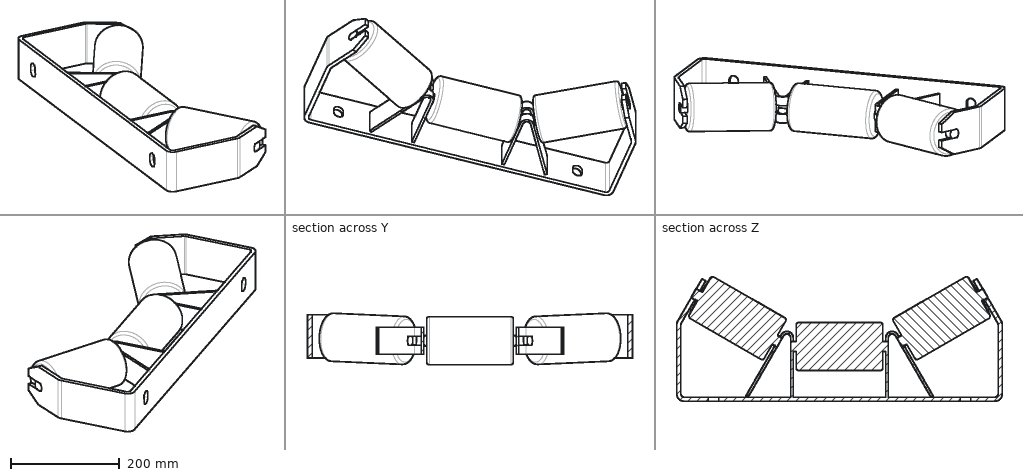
import cadquery as cq
import math


FRAME_WIDTH = 600.0
FRAME_HEIGHT = 80.0
FRAME_BOTTOM = -32.0
FRAME_MIDDLE = FRAME_BOTTOM + FRAME_HEIGHT / 2
FRAME_THICKNESS = 8.0
FRAME_BEND_INSIDE = 6.0
FRAME_BEND_OUTSIDE = FRAME_BEND_INSIDE + FRAME_THICKNESS
ARM_BEND_Y = 141.0
ARM_LENGTH = 90.0
ARM_CORNER_LENGTH = 30.0
ARM_CORNER_HEIGHT = 17.3

MOUNT_SPACING = 464.0
MOUNT_SLOT_WIDTH = 18.0
MOUNT_SLOT_HEIGHT = 26.0

SIDE_ANGLE = 30.0
SIDE_TILT = 2.2
BARREL_DIAMETER = 89.0
BARREL_LENGTH = 160.0
BARREL_ROUNDING = 5.0
BARREL_GAP = 5.0
FLAT_CLEARANCE = 1.0
SHAFT_DIAMETER = 20.0
SHAFT_FLATS = 16.0
SLOT_RUN = 60.0
MIDDLE_AXIS_Y = 101.0
SIDE_ROLLER_CENTRE = (188.0, 153.22, 3.42)
SUPPORT_DISTANCE = BARREL_LENGTH / 2 + BARREL_GAP

BRACKET_THICKNESS = 5.0
BRACKET_BEND_INSIDE = 7.0
BRACKET_BEND_OUTSIDE = BRACKET_BEND_INSIDE + BRACKET_THICKNESS
BRACKET_BEND_X = SUPPORT_DISTANCE + BRACKET_BEND_OUTSIDE
BRACKET_BEND_Y = 117.0
BRACKET_HEIGHT = 50.0
WELD_DEPTH = 0.2

INNER_REACH = SUPPORT_DISTANCE + BRACKET_THICKNESS
OUTER_REACH = SUPPORT_DISTANCE + FRAME_THICKNESS


def polar(start, distance, angle):
    """Point at a distance from another one, in a direction in degrees."""
    turn = math.radians(angle)
    return start[0] + distance * math.cos(turn), start[1] + distance * math.sin(turn)


def both_sides(body):
    """A body of the +X half joined to its mirror image."""
    return body.union(body.mirror("YZ"))


def arm_corners():
    """Wedges that bevel the top and bottom corners of the +X arm's tip."""
    bend = (FRAME_WIDTH / 2 - FRAME_BEND_OUTSIDE, ARM_BEND_Y)
    tip = polar(polar(bend, FRAME_BEND_OUTSIDE, SIDE_ANGLE), ARM_LENGTH, 90 + SIDE_ANGLE)
    outward = polar((0, 0), 1, SIDE_ANGLE)
    back_along_arm = polar((0, 0), 1, SIDE_ANGLE - 90)
    face = cq.Plane(
        origin=(tip[0], tip[1], FRAME_MIDDLE),
        xDir=(back_along_arm[0], back_along_arm[1], 0),
        normal=(outward[0], outward[1], 0),
    )
    wedges = cq.Workplane(face)
    for side in (-1, 1):
        edge = side * FRAME_HEIGHT / 2
        wedges = (
            wedges.moveTo(0, edge)
            .lineTo(ARM_CORNER_LENGTH, edge)
            .lineTo(0, edge - side * ARM_CORNER_HEIGHT)
            .close()
        )
    return wedges.extrude(-FRAME_THICKNESS)


def frame_strip():
    """Back wall, side walls and inclined arms, with the mounting slots."""
    corner = (FRAME_WIDTH / 2 - FRAME_BEND_OUTSIDE, FRAME_BEND_OUTSIDE)
    bend = (corner[0], ARM_BEND_Y)
    arm_direction = 90 + SIDE_ANGLE
    outside_end = polar(bend, FRAME_BEND_OUTSIDE, SIDE_ANGLE)
    inside_end = polar(bend, FRAME_BEND_INSIDE, SIDE_ANGLE)
    half = (
        cq.Workplane("XY", origin=(0, 0, FRAME_BOTTOM))
        .moveTo(0, 0)
        .lineTo(*polar(corner, FRAME_BEND_OUTSIDE, -90))
        .threePointArc(polar(corner, FRAME_BEND_OUTSIDE, -45), polar(corner, FRAME_BEND_OUTSIDE, 0))
        .lineTo(*polar(bend, FRAME_BEND_OUTSIDE, 0))
        .threePointArc(polar(bend, FRAME_BEND_OUTSIDE, SIDE_ANGLE / 2), outside_end)
        .lineTo(*polar(outside_end, ARM_LENGTH, arm_direction))
        .lineTo(*polar(inside_end, ARM_LENGTH, arm_direction))
        .lineTo(*inside_end)
        .threePointArc(polar(bend, FRAME_BEND_INSIDE, SIDE_ANGLE / 2), polar(bend, FRAME_BEND_INSIDE, 0))
        .lineTo(*polar(corner, FRAME_BEND_INSIDE, 0))
        .threePointArc(polar(corner, FRAME_BEND_INSIDE, -45), polar(corner, FRAME_BEND_INSIDE, -90))
        .lineTo(0, FRAME_THICKNESS)
        .close()
        .extrude(FRAME_HEIGHT)
        .cut(arm_corners())
    )
    slots = (
        cq.Workplane("XZ", origin=(0, 0, FRAME_MIDDLE))
        .rarray(MOUNT_SPACING, 1, 2, 1)
        .slot2D(MOUNT_SLOT_HEIGHT, MOUNT_SLOT_WIDTH, 90)
        .extrude(-FRAME_THICKNESS)
    )
    return both_sides(half).cut(slots)


def bracket():
    """The +X inner bracket: a leg square to the back wall and a leg along the side roller's end."""
    bend = (BRACKET_BEND_X, BRACKET_BEND_Y)
    leg_direction = SIDE_ANGLE - 90
    outside_end = polar(bend, BRACKET_BEND_OUTSIDE, SIDE_ANGLE)
    inside_end = polar(bend, BRACKET_BEND_INSIDE, SIDE_ANGLE)
    leg_drop = inside_end[1] - FRAME_THICKNESS + WELD_DEPTH
    leg_length = leg_drop / math.cos(math.radians(SIDE_ANGLE))
    bend_middle = (180 + SIDE_ANGLE) / 2
    return (
        cq.Workplane("XY", origin=(0, 0, -BRACKET_HEIGHT / 2))
        .moveTo(SUPPORT_DISTANCE, FRAME_THICKNESS)
        .lineTo(*polar(bend, BRACKET_BEND_OUTSIDE, 180))
        .threePointArc(polar(bend, BRACKET_BEND_OUTSIDE, bend_middle), outside_end)
        .lineTo(*polar(outside_end, leg_length, leg_direction))
        .lineTo(*polar(inside_end, leg_length, leg_direction))
        .lineTo(*inside_end)
        .threePointArc(polar(bend, BRACKET_BEND_INSIDE, bend_middle), polar(bend, BRACKET_BEND_INSIDE, 180))
        .lineTo(SUPPORT_DISTANCE + BRACKET_THICKNESS, FRAME_THICKNESS)
        .close()
        .extrude(BRACKET_HEIGHT)
    )


def flatted_shaft(plane, start, end):
    """Round bar with two flats, between two distances along the plane's normal."""
    stock = cq.Workplane(plane).workplane(offset=start)
    flats = stock.rect(SHAFT_DIAMETER, SHAFT_FLATS).extrude(end - start)
    return stock.circle(SHAFT_DIAMETER / 2).extrude(end - start).intersect(flats)


def roller(plane, start, end):
    """Barrel centred on the plane, with its shaft along the plane's normal."""
    barrel = (
        cq.Workplane(plane)
        .workplane(offset=-BARREL_LENGTH / 2)
        .circle(BARREL_DIAMETER / 2)
        .extrude(BARREL_LENGTH)
        .edges("%CIRCLE")
        .fillet(BARREL_ROUNDING)
    )
    round_reach = SUPPORT_DISTANCE - FLAT_CLEARANCE
    round_shaft = (
        cq.Workplane(plane)
        .workplane(offset=-round_reach)
        .circle(SHAFT_DIAMETER / 2)
        .extrude(2 * round_reach)
    )
    return barrel.union(round_shaft).union(flatted_shaft(plane, start, end))


def open_slot(plane, start, end):
    """Slot that fits the shaft and runs out along the plane's x direction."""
    run_out = (
        cq.Workplane(plane)
        .workplane(offset=start)
        .center(SLOT_RUN / 2, 0)
        .rect(SLOT_RUN, SHAFT_FLATS)
        .extrude(end - start)
    )
    return run_out.union(flatted_shaft(plane, start, end))


middle_plane = cq.Plane(origin=(0, MIDDLE_AXIS_Y, 0), xDir=(0, 1, 0), normal=(1, 0, 0))
plan_axis = polar((0, 0), 1, SIDE_ANGLE)
arm_axis = polar((0, 0), 1, SIDE_ANGLE + 90)
side_plane = cq.Plane(
    origin=SIDE_ROLLER_CENTRE,
    xDir=(arm_axis[0], arm_axis[1], 0),
    normal=(plan_axis[0], plan_axis[1], math.tan(math.radians(SIDE_TILT))),
)

barrel_end = BARREL_LENGTH / 2
arm_slot_end = OUTER_REACH + BARREL_GAP
bracket_slot_end = SUPPORT_DISTANCE + BRACKET_BEND_OUTSIDE
shaft_slots = (
    open_slot(side_plane, barrel_end, arm_slot_end)
    .union(open_slot(side_plane, -bracket_slot_end, -barrel_end))
    .union(open_slot(middle_plane, barrel_end, bracket_slot_end))
)

carrier = (
    frame_strip()
    .union(both_sides(bracket()))
    .cut(both_sides(shaft_slots))
    .union(roller(middle_plane, -INNER_REACH, INNER_REACH))
)

side_roller = roller(side_plane, -INNER_REACH, OUTER_REACH)
side_rollers = [side_roller, side_roller.mirror("YZ")]

result = cq.Compound.makeCompound([carrier.val(), *[body.val() for body in side_rollers]])